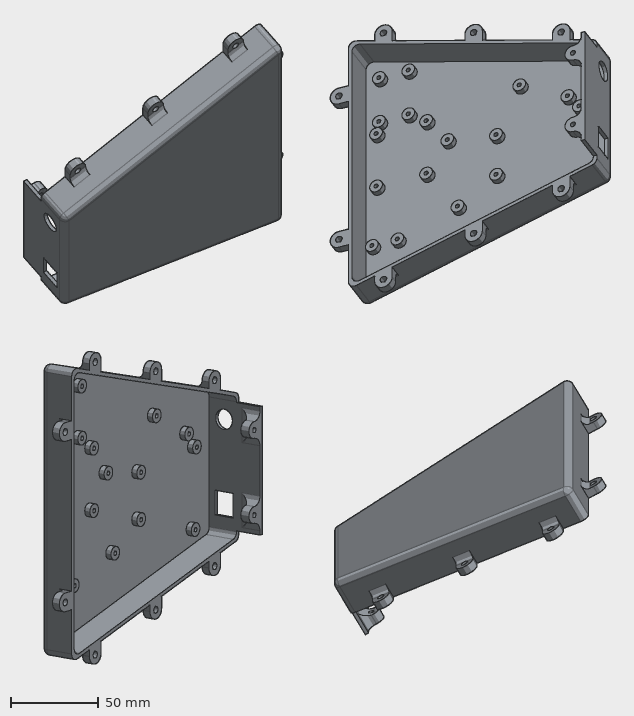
import cadquery as cq
import math

tray_depth = 22.0
tray_length = 156.1
front_half_height = 43.0
back_half_height = 86.9
wall = 2.25
floor_thickness = wall
edge_radius = 4.0
inner_corner_radius = 4.0
cavity_depth = tray_depth - floor_thickness

tab_width = 11.0
tab_thickness = 5.0
tab_fillet = 4.0
tab_hole_diameter = 4.0
back_tab_hole_distance = 5.97
side_tab_hole_distance = 5.375
tab_root = 1.5
back_tab_z = 50.1
side_tab_y = (22.5, 77.5, 134.1)

tongue_height = 17.0
tongue_half_width = 37.75
lug_z = 25.0
lug_hole_y = 7.4
lug_radius = 5.0
lug_thickness = 6.0
lug_underside_radius = 7.0
lug_hole_diameter = 3.0

opening_x = 9.0
round_opening_diameter = 12.0
round_opening_z = 26.6
square_opening_width = 13.0
square_opening_height = 14.5
square_opening_z = -23.3

standoff_diameter = 8.0
standoff_height = 3.75
standoff_hole_diameter = 2.5
standoffs = (
    (144.2, 68.0), (125.7, 68.0), (144.2, 37.4), (125.7, 37.4),
    (145.9, 29.4), (114.5, 29.4), (145.9, -7.3), (114.5, -7.3),
    (148.6, -48.1), (132.6, -48.1),
    (101.2, 12.3), (18.5, 12.3), (94.8, -36.0), (19.8, -36.0),
    (70.6, 7.1), (70.6, -20.7), (56.0, 37.6), (25.8, 21.4),
)

side_slope = (back_half_height - front_half_height) / tray_length
side_angle = math.atan(side_slope)


def plan(x):
    """Sketch plane with local axes Y and Z, extruding towards +X."""
    return cq.Workplane("YZ", origin=(x, 0, 0))


def side_wall_z(y):
    """Height of the outer face of the upper side wall at a given Y."""
    return front_half_height + side_slope * y


def trapezoid(inset, depth):
    """Trapezoid block starting at the rim, with every wall moved in by the inset."""
    front = inset
    back = tray_length - inset
    side_inset = inset / math.cos(side_angle)
    front_z = side_wall_z(front) - side_inset
    back_z = side_wall_z(back) - side_inset
    corners = [(front, -front_z), (back, -back_z), (back, back_z), (front, front_z)]
    return plan(0).polyline(corners).close().extrude(depth)


def tray_shell():
    outer = trapezoid(0, tray_depth).edges("|X").fillet(edge_radius)
    outer = outer.faces(">X").edges().fillet(edge_radius)
    cavity = trapezoid(wall, cavity_depth).edges("|X").fillet(inner_corner_radius)
    return outer.cut(cavity)


def tab(hole_distance, lean):
    """Rounded tab on a wall that passes through the origin, pointing along +Y.

    The lean is the angle in degrees that turns the wall about X away from square to the tab.
    A concave fillet joins the underside of the tab to the wall.
    """
    end_radius = tab_width / 2
    beyond_tip = 2 * (hole_distance + end_radius)
    full_depth = tab_thickness + tab_fillet
    outline = plan(0).rect(2 * hole_distance, tab_width).extrude(full_depth)
    outline = outline.union(plan(0).center(hole_distance, 0).circle(end_radius).extrude(full_depth))
    profile = (
        cq.Workplane("XY")
        .moveTo(0, -tab_root)
        .lineTo(0, beyond_tip)
        .lineTo(tab_thickness, beyond_tip)
        .lineTo(tab_thickness, tab_fillet)
        .radiusArc((full_depth, 0), -tab_fillet)
        .lineTo(full_depth, -tab_root)
        .close()
        .extrude(tab_width, both=True)
        .rotate((0, 0, 0), (1, 0, 0), lean)
    )
    hole = plan(0).center(hole_distance, 0).circle(tab_hole_diameter / 2).extrude(full_depth)
    return outline.intersect(profile).cut(hole)


def add_tabs(body):
    back_tab = tab(back_tab_hole_distance, 0)
    for z in (-back_tab_z, back_tab_z):
        body = body.union(back_tab.translate((0, tray_length, z)))
    side_tab = tab(side_tab_hole_distance, math.degrees(side_angle)).rotate((0, 0, 0), (1, 0, 0), 90)
    for y in side_tab_y:
        upper_tab = side_tab.translate((0, y, side_wall_z(y)))
        body = body.union(upper_tab).union(upper_tab.mirror("XY"))
    return body


def lug():
    """Screw lug centred on Z = 0, flaring into the tongue, with a concave underside."""
    flare = lug_hole_y - wall
    flare_half_width = lug_radius + flare
    full_depth = lug_thickness + lug_underside_radius
    outline = (
        plan(-tongue_height)
        .moveTo(0, -flare_half_width)
        .lineTo(wall, -flare_half_width)
        .radiusArc((lug_hole_y, -lug_radius), flare)
        .threePointArc((lug_hole_y + lug_radius, 0), (lug_hole_y, lug_radius))
        .radiusArc((wall, flare_half_width), flare)
        .lineTo(0, flare_half_width)
        .close()
        .extrude(full_depth)
    )
    tip = lug_hole_y + lug_radius
    underside_x = lug_thickness - tongue_height
    profile = (
        cq.Workplane("XY")
        .moveTo(-tongue_height, 0)
        .lineTo(-tongue_height, tip)
        .lineTo(underside_x, tip)
        .lineTo(underside_x, wall + lug_underside_radius)
        .radiusArc((underside_x + lug_underside_radius, wall), -lug_underside_radius)
        .lineTo(underside_x + lug_underside_radius, 0)
        .close()
        .extrude(flare_half_width, both=True)
    )
    hole = plan(-tongue_height).center(lug_hole_y, 0).circle(lug_hole_diameter / 2)
    return outline.intersect(profile).cut(hole.extrude(full_depth))


def add_tongue(body):
    tongue = cq.Workplane("XY").box(
        tongue_height + wall, wall, 2 * tongue_half_width, centered=(False, False, True)
    )
    body = body.union(tongue.translate((-tongue_height, 0, 0)))
    for z in (-lug_z, lug_z):
        body = body.union(lug().translate((0, 0, z)))
    return body


def cut_openings(body):
    round_opening = (
        cq.Workplane("XZ")
        .center(opening_x, round_opening_z)
        .circle(round_opening_diameter / 2)
        .extrude(-wall)
    )
    square_opening = (
        cq.Workplane("XZ")
        .center(opening_x, square_opening_z)
        .rect(square_opening_width, square_opening_height)
        .extrude(-wall)
    )
    return body.cut(round_opening).cut(square_opening)


def add_standoffs(body):
    top_x = cavity_depth - standoff_height
    pins = plan(top_x).pushPoints(standoffs).circle(standoff_diameter / 2).extrude(standoff_height)
    holes = plan(top_x).pushPoints(standoffs).circle(standoff_hole_diameter / 2).extrude(standoff_height)
    return body.union(pins).cut(holes)


result = add_standoffs(cut_openings(add_tongue(add_tabs(tray_shell()))))